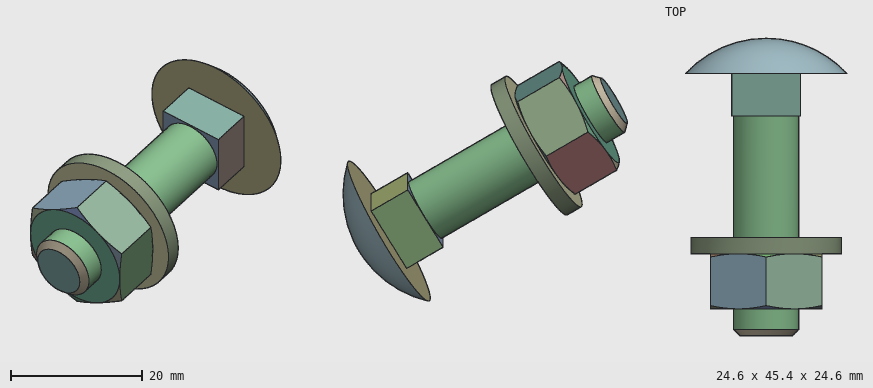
import cadquery as cq
import math


total_length = 45.4
head_diameter = 24.65
head_height = 5.4
neck_width = 10.55
neck_length = 6.5
shank_diameter = 10.0
tip_chamfer = 1.0
bolt_reach = total_length - head_height

washer_diameter = 23.0
washer_thickness = 2.5
washer_distance = 24.95

nut_across_flats = 17.0
nut_thickness = 8.4
nut_chamfer_depth = 0.5
nut_distance = washer_distance + washer_thickness


def plane_below_head(distance):
    """Plane across the bolt axis, facing the tip, at a distance below the head."""
    return cq.Workplane("XZ", origin=(0, -distance, 0))


def make_head():
    """Spherical cap with a sharp rim, revolved about the bolt axis."""
    head_radius = head_diameter / 2
    dome_radius = (head_radius**2 + head_height**2) / (2 * head_height)
    dome_center_y = head_height - dome_radius
    half_angle = math.asin(head_radius / dome_radius) / 2
    arc_middle = (
        dome_radius * math.sin(half_angle),
        dome_center_y + dome_radius * math.cos(half_angle),
    )
    return (
        cq.Workplane("XY")
        .moveTo(0, 0)
        .lineTo(head_radius, 0)
        .threePointArc(arc_middle, (0, head_height))
        .close()
        .revolve(360, (0, 0, 0), (0, 1, 0))
    )


def make_bolt():
    """Domed head, square neck and round shank with a chamfered tip."""
    neck = plane_below_head(0).rect(neck_width, neck_width).extrude(neck_length)
    shank = (
        plane_below_head(0)
        .circle(shank_diameter / 2)
        .extrude(bolt_reach)
        .faces("<Y")
        .chamfer(tip_chamfer)
    )
    return make_head().union(neck).union(shank)


def make_washer():
    """Flat ring fitting closely around the shank."""
    return (
        plane_below_head(washer_distance)
        .circle(washer_diameter / 2)
        .circle(shank_diameter / 2)
        .extrude(washer_thickness)
    )


def make_nut():
    """Hexagon nut with corners at +Z and -Z, cone-chamfered at both ends."""
    across_corners = nut_across_flats / math.cos(math.radians(30))
    corner_radius = across_corners / 2
    chamfer_radius = nut_across_flats / 2
    near_y = -nut_distance
    far_y = near_y - nut_thickness

    hexagon = (
        plane_below_head(nut_distance)
        .transformed(rotate=(0, 0, 90))
        .polygon(6, across_corners)
        .circle(shank_diameter / 2)
        .extrude(nut_thickness)
    )
    chamfer_envelope = (
        cq.Workplane("XY")
        .polyline([
            (0, near_y),
            (chamfer_radius, near_y),
            (corner_radius, near_y - nut_chamfer_depth),
            (corner_radius, far_y + nut_chamfer_depth),
            (chamfer_radius, far_y),
            (0, far_y),
        ])
        .close()
        .revolve(360, (0, 0, 0), (0, 1, 0))
    )
    return hexagon.intersect(chamfer_envelope)


bolt = make_bolt().solids().val()
washer = make_washer().solids().val()
nut = make_nut().solids().val()

result = cq.Compound.makeCompound([bolt, washer, nut])